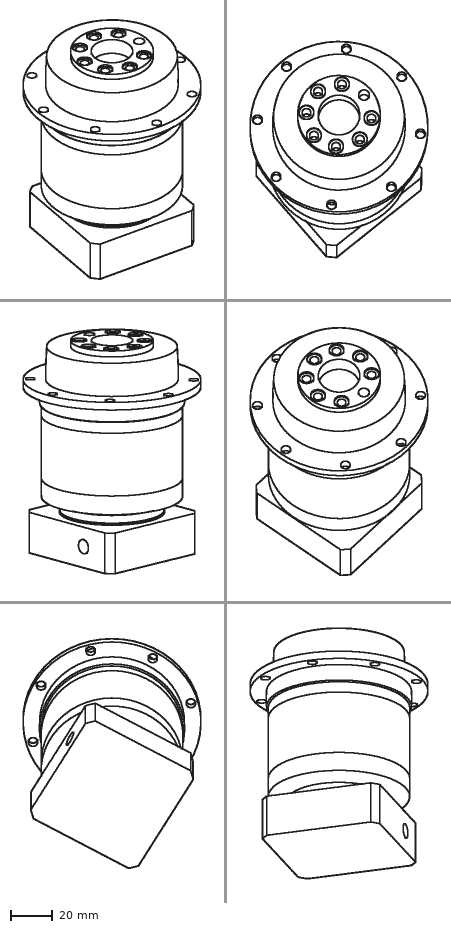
import cadquery as cq
import math

block_top = 20.4
groove_z = 21.0
neck_chamfer_top = 21.4
neck_top = 25.2
cone_top = 28.0
ring_bottom = 37.3
ring_top = 68.7
collar_chamfer_bottom = 74.1
collar_chamfer_top = 74.6
flange_bottom = 82.7
flange_top = 86.5
taper_start = 93.6
housing_top = 103.0
hub_top = 106.0

neck_diameter = 51.0
groove_diameter = 50.1
body_diameter = 68.4
collar_diameter = 70.1
flange_diameter = 86.0
housing_diameter = 64.0
housing_top_diameter = 63.2
hub_diameter = 40.0

block_width = 60.0
block_corner_diameter = 80.0

flange_hole_count = 8
flange_hole_diameter = 4.6
flange_hole_circle = 79.0

bore_diameter = 20.0
bore_depth = 8.0
hub_hole_places = 8
hub_hole_circle = 31.5
pin_angle = 90
pin_hole_diameter = 5.2
pin_hole_depth = bore_depth
tap_diameter = 4.2
tap_depth = 10.0
drill_point_angle = 118
tap_recess_diameter = 7.1
tap_recess_depth = 1.0

access_y = -11.6
access_z = 10.6
access_diameter = 7.0
access_floor_diameter = 6.4
access_depth = 10.0
access_rise = 0.4
socket_diameter = 3.2
socket_depth = 0.5


def turned(profile):
    """Solid of revolution about Z from (diameter, z) pairs listed bottom to top."""
    outline = [(diameter / 2, z) for diameter, z in profile]
    axis_bottom = (0, profile[0][1])
    axis_top = (0, profile[-1][1])
    return (
        cq.Workplane("XZ")
        .polyline([axis_bottom, *outline, axis_top])
        .close()
        .revolve(360, (0, 0), (0, 1))
    )


def on_circle(circle_diameter, angle):
    """Point on a circle about the Z axis, at an angle in degrees from +X."""
    turn = math.radians(angle)
    return (circle_diameter / 2 * math.cos(turn), circle_diameter / 2 * math.sin(turn))


def drill_down(point, top, diameter, depth):
    """Round flat-bottomed cutter going down from a level."""
    return cq.Workplane("XY", origin=(*point, top)).circle(diameter / 2).extrude(-depth)


def threaded_hole(point):
    """Cutter for a hub hole with a recess at the mouth and a drill point at the bottom."""
    tip_height = tap_diameter / 2 / math.tan(math.radians(drill_point_angle / 2))
    drill = drill_down((0, 0), 0, tap_diameter, tap_depth)
    drill_end = cq.Vector(0, 0, -tap_depth)
    downward = cq.Vector(0, 0, -1)
    tip = cq.Solid.makeCone(tap_diameter / 2, 0, tip_height, drill_end, downward)
    recess = drill_down((0, 0), 0, tap_recess_diameter, tap_recess_depth)
    return drill.union(cq.Workplane(tip)).union(recess).translate((*point, hub_top))


def make_output_housing():
    """Upper body: flanged housing with the output hub on top."""
    housing = turned([
        (body_diameter, ring_top),
        (body_diameter, collar_chamfer_bottom),
        (collar_diameter, collar_chamfer_top),
        (collar_diameter, flange_bottom),
        (flange_diameter, flange_bottom),
        (flange_diameter, flange_top),
        (housing_diameter, flange_top),
        (housing_diameter, taper_start),
        (housing_top_diameter, housing_top),
        (hub_diameter, housing_top),
        (hub_diameter, hub_top),
    ])

    flange_thickness = flange_top - flange_bottom
    for place in range(flange_hole_count):
        point = on_circle(flange_hole_circle, place * 360 / flange_hole_count)
        housing = housing.cut(drill_down(point, flange_top, flange_hole_diameter, flange_thickness))

    housing = housing.cut(drill_down((0, 0), hub_top, bore_diameter, bore_depth))

    for place in range(hub_hole_places):
        angle = place * 360 / hub_hole_places
        point = on_circle(hub_hole_circle, angle)
        if angle == pin_angle:
            cutter = drill_down(point, hub_top, pin_hole_diameter, pin_hole_depth)
        else:
            cutter = threaded_hole(point)
        housing = housing.cut(cutter)
    return housing


def make_ring_gear():
    """Middle body: plain cylinder between the housing and the input adapter."""
    return turned([(body_diameter, ring_bottom), (body_diameter, ring_top)])


def access_hole():
    """Cutter for the access hole, with a small socket recess in its upright floor."""
    inward = cq.Vector(1, 0, 0)
    mouth_centre = cq.Vector(-block_width / 2, access_y, access_z)
    floor_centre = mouth_centre + cq.Vector(access_depth, 0, access_rise)
    mouth = cq.Wire.makeCircle(access_diameter / 2, mouth_centre, inward)
    floor = cq.Wire.makeCircle(access_floor_diameter / 2, floor_centre, inward)
    bore = cq.Solid.makeLoft([mouth, floor], True)
    socket = cq.Solid.makeCylinder(socket_diameter / 2, socket_depth, floor_centre, inward)
    return cq.Workplane(bore).union(cq.Workplane(socket))


def make_input_adapter():
    """Lower body: cone and neck standing on the motor block."""
    neck = turned([
        (neck_diameter, block_top),
        (groove_diameter, groove_z),
        (neck_diameter, neck_chamfer_top),
        (neck_diameter, neck_top),
        (body_diameter, cone_top),
        (body_diameter, ring_bottom),
    ])
    corner_round = cq.Workplane("XY").circle(block_corner_diameter / 2).extrude(block_top)
    block = cq.Workplane("XY").rect(block_width, block_width).extrude(block_top).intersect(corner_round)
    return block.union(neck).cut(access_hole())


output_housing = make_output_housing()
ring_gear = make_ring_gear()
input_adapter = make_input_adapter()

result = cq.Compound.makeCompound([
    output_housing.solids().val(),
    ring_gear.solids().val(),
    input_adapter.solids().val(),
])